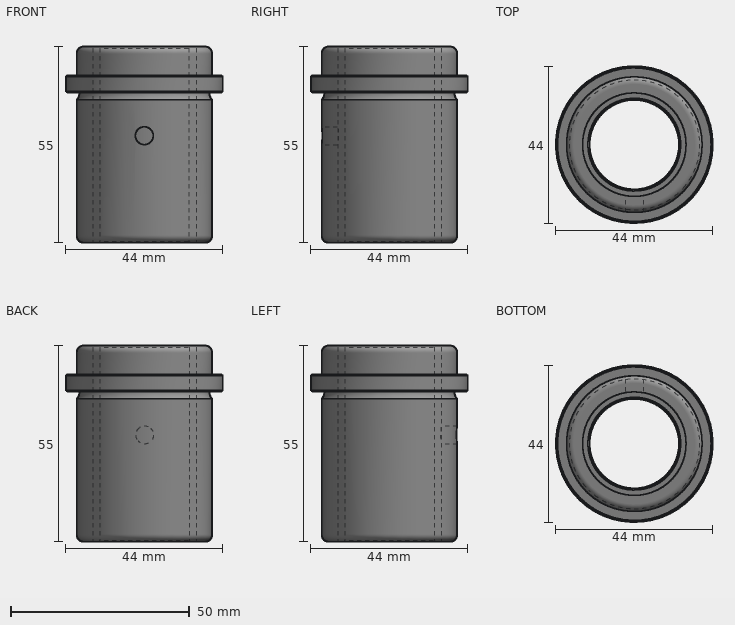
import cadquery as cq
import math

length = 55.0
body_radius = 19.0
body_round = 2.0

flange_radius = 22.0
flange_height = 5.0
flange_chamfer = 0.5
top_to_flange = 8.0
flange_top = length - top_to_flange
flange_bottom = flange_top - flange_height

relief_height = 2.0
relief_arc_radius = 3.0
relief_centre_offset = math.sqrt(relief_arc_radius**2 - relief_height**2)
relief_depth = relief_arc_radius - relief_centre_offset

liner_radius = 14.5
bore_radius = 12.5
bore_chamfer = 0.5

side_hole_diameter = 5.0
side_hole_z = 30.0


def make_tube(outer_radius, inner_radius):
    return cq.Workplane("XY").circle(outer_radius).circle(inner_radius).extrude(length)


def make_flange():
    return (
        cq.Workplane("XY", origin=(0, 0, flange_bottom))
        .circle(flange_radius)
        .extrude(flange_height)
        .edges()
        .chamfer(flange_chamfer)
        .cut(cq.Workplane("XY").circle(liner_radius).extrude(length))
    )


def make_relief():
    """Ring removed under the flange, deepest against the flange's lower face."""
    relief_start = flange_bottom - relief_height
    return (
        cq.Workplane("XZ")
        .moveTo(body_radius, relief_start)
        .radiusArc((body_radius - relief_depth, flange_bottom), relief_arc_radius)
        .lineTo(flange_radius, flange_bottom)
        .lineTo(flange_radius, relief_start)
        .close()
        .revolve(360, (0, 0, 0), (0, 1, 0))
    )


def make_side_hole():
    """Cylinder running from the axis out through the -Y wall."""
    return (
        cq.Workplane("XZ", origin=(0, 0, side_hole_z))
        .circle(side_hole_diameter / 2)
        .extrude(flange_radius)
    )


def make_housing():
    outer_end_edges = cq.selectors.RadiusNthSelector(-1)
    tube = make_tube(body_radius, liner_radius)
    rounded = tube.faces("<Z or >Z").edges(outer_end_edges).fillet(body_round)
    return rounded.union(make_flange()).cut(make_relief()).cut(make_side_hole())


def make_liner():
    bore_end_edges = cq.selectors.RadiusNthSelector(0)
    return make_tube(liner_radius, bore_radius).faces("<Z or >Z").edges(bore_end_edges).chamfer(bore_chamfer)


housing = make_housing()
liner = make_liner()

result = cq.Compound.makeCompound([housing.val(), liner.val()])